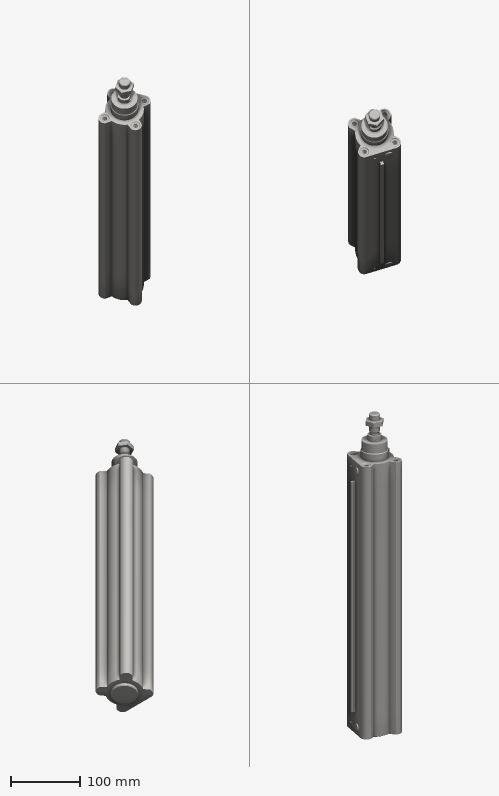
import cadquery as cq
import math


WIDTH = 64.0
HALF_WIDTH = WIDTH / 2
BARREL_LENGTH = 425.5
SIDE_RADIUS = 28.0
SCREW_SPACING = 46.5
SCREW_OFFSET = SCREW_SPACING / 2
LOBE_RADIUS = HALF_WIDTH - SCREW_OFFSET
LOBE_FLAT_END = 20.0
WEB_END = 12.0

COLLAR_DIAMETER = 40.0
COLLAR_HEIGHT = 12.5
COLLAR_CHAMFER = 1.0
BOTTOM_COLLAR_HEIGHT = 4.5
GUIDE_DIAMETER = 38.0
GUIDE_HEIGHT = 14.5

SCREW_RECESS_DIAMETER = 14.0
SCREW_RECESS_FLOOR_DIAMETER = 12.0
SCREW_RECESS_DEPTH = 1.0
SCREW_HOLE_DEPTH = 3.0
SCREW_HOLE_DIAMETER = 6.5
SCREW_HOLE_RIM_DIAMETER = 8.0
SCREW_HOLE_TIP_DEPTH = 3.0

RAIL_WIDTH = 5.0
RAIL_HEIGHT = 5.0
RAIL_GROOVE_WIDTH = 2.0
RAIL_GROOVE_DEPTH = 0.5
RAIL_GROOVE_OFFSET = 1.5
RAIL_START = 33.0
RAIL_LENGTH = 360.0
PORT_DIAMETER = 11.5
PORT_HEIGHT = 1.5
PORT_OFFSET = 10.5
BOTTOM_PORT_DISTANCE = 12.0
TOP_PORT_DISTANCE = 13.5
ADJUSTER_DIAMETER = 2.0

ROD_DIAMETER = 20.0
ROD_FLATS_WIDTH = 17.0
ROD_SHOULDER_HEIGHT = 8.5
FLATS_HEIGHT = 7.0
NECK_DIAMETER = 14.0
NECK_HEIGHT = 3.5
NECK_TAPER_HEIGHT = 2.0
THREAD_DIAMETER = 16.0
THREAD_CHAMFER = (THREAD_DIAMETER - NECK_DIAMETER) / 2
GUIDE_TOP = BARREL_LENGTH + COLLAR_HEIGHT + GUIDE_HEIGHT
SHOULDER_TOP = GUIDE_TOP + ROD_SHOULDER_HEIGHT
NECK_TOP = SHOULDER_TOP + NECK_HEIGHT
TOTAL_LENGTH = 498.0
ROD_TOP = TOTAL_LENGTH - BOTTOM_COLLAR_HEIGHT

NUT_ACROSS_FLATS = 24.0
NUT_HEIGHT = 7.5
NUT_CHAMFER_DIAMETER = 23.5
NUT_CHAMFER_HEIGHT = 0.5
NUT_TOP_DISTANCE = 9.5
NUT_BOTTOM = ROD_TOP - NUT_TOP_DISTANCE - NUT_HEIGHT


def disc(diameter, height, z):
    return cq.Workplane("XY", origin=(0, 0, z)).circle(diameter / 2).extrude(height)


def barrel_profile():
    """Arched sides between rounded corner lobes; the +Y side is flat."""
    h = HALF_WIDTH
    mid = SCREW_OFFSET + LOBE_RADIUS / math.sqrt(2)
    web = math.sqrt(SIDE_RADIUS**2 - WEB_END**2)
    return (
        cq.Workplane("XY")
        .moveTo(-SCREW_OFFSET, h)
        .lineTo(SCREW_OFFSET, h)
        .threePointArc((mid, mid), (h, SCREW_OFFSET))
        .lineTo(h, LOBE_FLAT_END)
        .lineTo(web, WEB_END)
        .threePointArc((SIDE_RADIUS, 0), (web, -WEB_END))
        .lineTo(h, -LOBE_FLAT_END)
        .lineTo(h, -SCREW_OFFSET)
        .threePointArc((mid, -mid), (SCREW_OFFSET, -h))
        .lineTo(LOBE_FLAT_END, -h)
        .lineTo(WEB_END, -web)
        .threePointArc((0, -SIDE_RADIUS), (-WEB_END, -web))
        .lineTo(-LOBE_FLAT_END, -h)
        .lineTo(-SCREW_OFFSET, -h)
        .threePointArc((-mid, -mid), (-h, -SCREW_OFFSET))
        .lineTo(-h, -LOBE_FLAT_END)
        .lineTo(-web, -WEB_END)
        .threePointArc((-SIDE_RADIUS, 0), (-web, WEB_END))
        .lineTo(-h, LOBE_FLAT_END)
        .lineTo(-h, SCREW_OFFSET)
        .threePointArc((-mid, mid), (-SCREW_OFFSET, h))
        .close()
    )


def make_rail():
    """Bar along the +Y face with a shallow groove in each side."""
    rail = (
        cq.Workplane("XY", origin=(0, HALF_WIDTH, RAIL_START))
        .rect(RAIL_WIDTH, 2 * RAIL_HEIGHT)
        .extrude(RAIL_LENGTH)
    )
    groove_y = HALF_WIDTH + RAIL_GROOVE_OFFSET + RAIL_GROOVE_WIDTH / 2
    grooves = (
        cq.Workplane("XY", origin=(0, groove_y, RAIL_START))
        .pushPoints([(-RAIL_WIDTH / 2, 0), (RAIL_WIDTH / 2, 0)])
        .rect(2 * RAIL_GROOVE_DEPTH, RAIL_GROOVE_WIDTH)
        .extrude(RAIL_LENGTH)
    )
    return rail.cut(grooves)


def face_boss(diameter, x, z):
    """Round boss standing on the flat +Y face."""
    return (
        cq.Workplane("XZ", origin=(x, HALF_WIDTH + PORT_HEIGHT, z))
        .circle(diameter / 2)
        .extrude(2 * PORT_HEIGHT)
    )


def screw_recess(x, y):
    """Tapered recess with a chamfered, conical-bottomed hole in its floor."""
    rim = SCREW_HOLE_RIM_DIAMETER / 2
    bore = SCREW_HOLE_DIAMETER / 2
    bore_top = -SCREW_RECESS_DEPTH - (rim - bore)
    half_section = [
        (0, 0),
        (SCREW_RECESS_DIAMETER / 2, 0),
        (SCREW_RECESS_FLOOR_DIAMETER / 2, -SCREW_RECESS_DEPTH),
        (rim, -SCREW_RECESS_DEPTH),
        (bore, bore_top),
        (bore, -SCREW_HOLE_DEPTH),
        (0, -SCREW_HOLE_DEPTH - SCREW_HOLE_TIP_DEPTH),
    ]
    return cq.Workplane("XZ").polyline(half_section).close().revolve().translate((x, y, BARREL_LENGTH))


def make_housing():
    """Barrel with its end collars, rod guide, rail, ports and corner screw recesses."""
    bottom_collar = disc(COLLAR_DIAMETER, BOTTOM_COLLAR_HEIGHT, -BOTTOM_COLLAR_HEIGHT)
    bottom_collar = bottom_collar.faces("<Z").chamfer(COLLAR_CHAMFER)
    top_collar = disc(COLLAR_DIAMETER, COLLAR_HEIGHT, BARREL_LENGTH)
    top_collar = top_collar.faces(">Z").chamfer(COLLAR_CHAMFER)
    housing = barrel_profile().extrude(BARREL_LENGTH)
    housing = housing.union(bottom_collar)
    housing = housing.union(top_collar)
    housing = housing.union(disc(GUIDE_DIAMETER, GUIDE_HEIGHT, BARREL_LENGTH + COLLAR_HEIGHT))
    housing = housing.union(make_rail())
    for z in (BOTTOM_PORT_DISTANCE, BARREL_LENGTH - TOP_PORT_DISTANCE):
        housing = housing.union(face_boss(PORT_DIAMETER, -PORT_OFFSET, z))
        housing = housing.union(face_boss(ADJUSTER_DIAMETER, PORT_OFFSET, z))
    for x in (-SCREW_OFFSET, SCREW_OFFSET):
        for y in (-SCREW_OFFSET, SCREW_OFFSET):
            housing = housing.cut(screw_recess(x, y))
    return housing


def make_rod():
    """Turned rod end: shoulder with two wrench flats facing X, undercut neck and thread."""
    shoulder_radius = ROD_DIAMETER / 2
    neck_radius = NECK_DIAMETER / 2
    thread_radius = THREAD_DIAMETER / 2
    half_section = [
        (0, GUIDE_TOP),
        (shoulder_radius, GUIDE_TOP),
        (shoulder_radius, SHOULDER_TOP),
        (neck_radius, SHOULDER_TOP),
        (neck_radius, NECK_TOP),
        (thread_radius, NECK_TOP + NECK_TAPER_HEIGHT),
        (thread_radius, ROD_TOP - THREAD_CHAMFER),
        (thread_radius - THREAD_CHAMFER, ROD_TOP),
        (0, ROD_TOP),
    ]
    rod = cq.Workplane("XZ").polyline(half_section).close().revolve()
    block_offset = (ROD_FLATS_WIDTH + ROD_DIAMETER) / 2
    beside_flats = (
        cq.Workplane("XY", origin=(0, 0, SHOULDER_TOP - FLATS_HEIGHT))
        .pushPoints([(-block_offset, 0), (block_offset, 0)])
        .rect(ROD_DIAMETER, ROD_DIAMETER)
        .extrude(FLATS_HEIGHT)
    )
    return rod.cut(beside_flats)


def make_nut():
    """Hexagon with two corners on the Y axis, its top corners turned to a shallow cone."""
    corner_diameter = NUT_ACROSS_FLATS / math.cos(math.pi / 6)
    hexagon = (
        cq.Workplane("XY", origin=(0, 0, NUT_BOTTOM))
        .transformed(rotate=(0, 0, 90))
        .polygon(6, corner_diameter)
        .circle(THREAD_DIAMETER / 2)
        .extrude(NUT_HEIGHT)
    )
    nut_top = NUT_BOTTOM + NUT_HEIGHT
    half_section = [
        (0, NUT_BOTTOM),
        (corner_diameter / 2, NUT_BOTTOM),
        (corner_diameter / 2, nut_top - NUT_CHAMFER_HEIGHT),
        (NUT_CHAMFER_DIAMETER / 2, nut_top),
        (0, nut_top),
    ]
    turned_blank = cq.Workplane("XZ").polyline(half_section).close().revolve()
    return hexagon.intersect(turned_blank)


housing = make_housing()
rod = make_rod()
nut = make_nut()

result = cq.Compound.makeCompound([housing.val(), rod.val(), nut.val()])